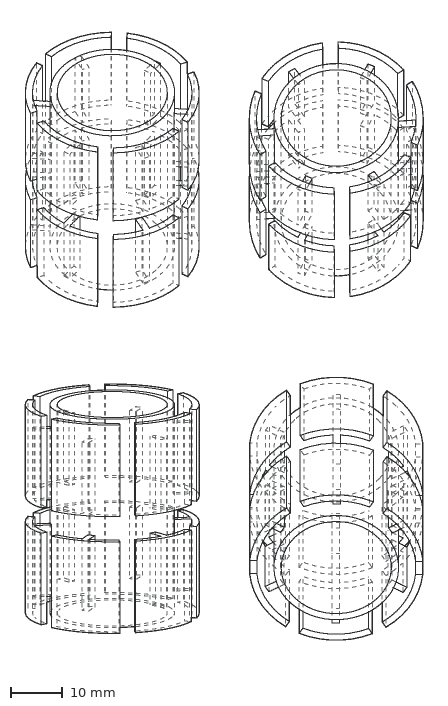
import cadquery as cq

TUBE_OUTER_DIAMETER = 24.0
TUBE_INNER_DIAMETER = 21.2
WALL = (TUBE_OUTER_DIAMETER - TUBE_INNER_DIAMETER) / 2
LENGTH = 41.3

PANEL_COUNT = 6
PANEL_OUTER_DIAMETER = 33.5
PANEL_INNER_DIAMETER = PANEL_OUTER_DIAMETER - 2 * WALL
RING_GAP = 5.0
PANEL_HEIGHT = (LENGTH - RING_GAP) / 2
SLOT_WIDTH = 3.0

WEB_THICKNESS = WALL
WEB_SETBACK = 4.0
WEB_HEIGHT = PANEL_HEIGHT - WEB_SETBACK

PANEL_PITCH = 360.0 / PANEL_COUNT


def hollow_cylinder(outer_diameter, inner_diameter, height):
    """Upright ring standing on Z = 0."""
    return cq.Workplane("XY").circle(outer_diameter / 2).circle(inner_diameter / 2).extrude(height)


def radial_bar(start_radius, end_radius, thickness, height, angle):
    """Upright plate on Z = 0 that runs outward from start_radius to end_radius."""
    plate = cq.Workplane("XY").box(
        end_radius - start_radius, thickness, height, centered=(False, True, False)
    )
    return plate.translate((start_radius, 0, 0)).rotate((0, 0, 0), (0, 0, 1), angle)


def panel_ring():
    """Lower ring: a sleeve split into panels by parallel-sided slots between the webs."""
    ring = hollow_cylinder(PANEL_OUTER_DIAMETER, PANEL_INNER_DIAMETER, PANEL_HEIGHT)
    for index in range(PANEL_COUNT):
        slot_angle = (index + 0.5) * PANEL_PITCH
        ring = ring.cut(radial_bar(0, PANEL_OUTER_DIAMETER, SLOT_WIDTH, PANEL_HEIGHT, slot_angle))
    return ring


def add_webs(body):
    """Join each panel of the lower ring to the tube; both web ends sink halfway into the walls."""
    start_radius = (TUBE_OUTER_DIAMETER - WALL) / 2
    end_radius = (PANEL_INNER_DIAMETER + WALL) / 2
    for index in range(PANEL_COUNT):
        web = radial_bar(start_radius, end_radius, WEB_THICKNESS, WEB_HEIGHT, index * PANEL_PITCH)
        body = body.union(web.translate((0, 0, WEB_SETBACK)))
    return body


tube = hollow_cylinder(TUBE_OUTER_DIAMETER, TUBE_INNER_DIAMETER, LENGTH)
tube_with_lower_panels = add_webs(tube.union(panel_ring()))
tube_with_upper_panels = tube_with_lower_panels.mirror("XY", (0, 0, LENGTH / 2))

result = tube_with_lower_panels.union(tube_with_upper_panels)